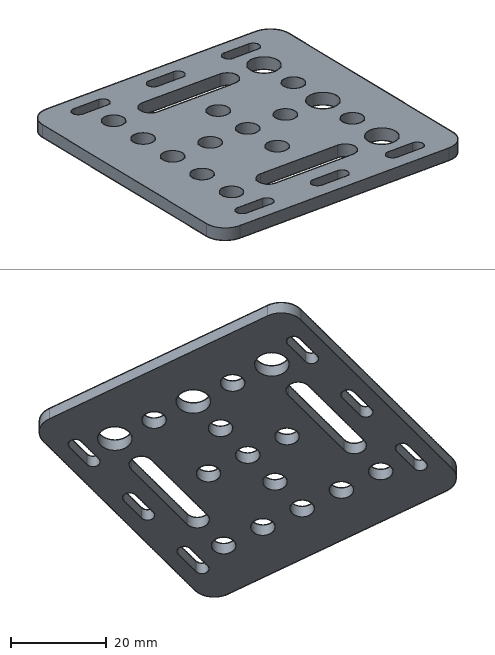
import cadquery as cq

side = 65.5
thickness = 3.0
corner_radius = 5.0

row_spacing = 20.0
pitch = row_spacing / 2
small_diameter = 5.1
large_diameter = 7.2

long_slot_length = 25.6
long_slot_width = small_diameter
edge_slot_length = 9.5
edge_slot_width = 3.0
edge_slot_x = 27.8


def cut_holes(plate, points, diameter):
    """Cut round through holes at the given points."""
    return plate.faces(">Z").workplane(origin=(0, 0, 0)).pushPoints(points).hole(diameter)


def cut_slots(plate, points, length, width):
    """Cut round-ended through slots along Y, centred on the given points."""
    slots = plate.faces(">Z").workplane(origin=(0, 0, 0)).pushPoints(points)
    return slots.slot2D(length, width, 90).cutThruAll()


plate = cq.Workplane("XY").box(side, side, thickness).edges("|Z").fillet(corner_radius)

large_points = [(x, row_spacing) for x in (-row_spacing, 0, row_spacing)]
small_points = [(x, row_spacing) for x in (-pitch, pitch)]

small_points += [(x, 0) for x in (-pitch, 0, pitch)]
small_points += [(0, y) for y in (-pitch, pitch)]

small_points += [(column * pitch, -row_spacing) for column in range(-2, 3)]

plate = cut_holes(plate, large_points, large_diameter)
plate = cut_holes(plate, small_points, small_diameter)

long_slot_points = [(x, 0) for x in (-row_spacing, row_spacing)]
edge_slot_points = [
    (x, y)
    for x in (-edge_slot_x, edge_slot_x)
    for y in (-row_spacing, 0, row_spacing)
]
plate = cut_slots(plate, long_slot_points, long_slot_length, long_slot_width)
plate = cut_slots(plate, edge_slot_points, edge_slot_length, edge_slot_width)

result = plate